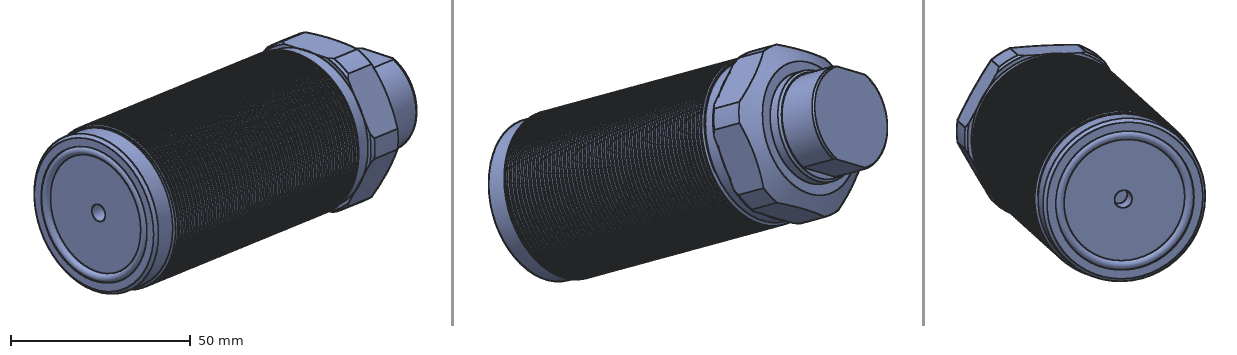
import cadquery as cq
import math


stud_end = 119.1
collar_back = 106.9
hex_back = 103.2
hex_front = 89.1
thread_back = 85.2
thread_front = 7.5

barrel_radius = 23.2
barrel_chamfer = 1.0
collar_radius = 16.0
collar_chamfer = 0.7
hole_radius = 2.5
hole_depth = 6.0

stud_radius = 15.0
stud_flat_distance = 27.0
stud_chamfer_length = 0.7
stud_chamfer_depth = 0.4

hex_flat_distance = 46.0
hex_corner_radius = 24.95
hex_back_radius = 19.0
hex_back_angle = 30
hex_front_chamfer_length = 1.0
hex_front_chamfer_depth = 0.6

thread_radius = 24.0
thread_pitch = 1.5
thread_depth = 0.65
thread_half_angle = 30
groove_run_out = 2.1
groove_clearance = 0.2
groove_root_radius = thread_radius - thread_depth
groove_mouth_radius = thread_radius + groove_clearance
groove_mouth_half_width = (thread_depth + groove_clearance) * math.tan(math.radians(thread_half_angle))
groove_start = thread_front - groove_run_out

slice_count = 49
front_joint = thread_front + thread_pitch
back_joint = front_joint + slice_count * thread_pitch
joint_tolerance = 0.001

ring_outer_radius = 19.8
ring_section_radius = 1.25
ring_center_radius = ring_outer_radius - ring_section_radius
ring_center_y = ring_section_radius
recess_floor_y = 2 * ring_section_radius
face_y = 0.6


def turned(points):
    """Solid of revolution about Y from (radius, y) points; the axis closes the outline."""
    on_axis = [(0, points[0][1])] + points + [(0, points[-1][1])]
    return cq.Workplane("XY").polyline(on_axis).close().revolve(360, (0, 0, 0), (0, 1, 0))


def make_barrel():
    """Barrel with a chamfered front edge and a raised thread blank with 45 degree ends."""
    rise = thread_radius - barrel_radius
    return turned([
        (barrel_radius - barrel_chamfer, face_y),
        (barrel_radius, face_y + barrel_chamfer),
        (barrel_radius, thread_front),
        (thread_radius, thread_front + rise),
        (thread_radius, thread_back - rise),
        (barrel_radius, thread_back),
        (barrel_radius, hex_front),
    ])


def make_groove_turn():
    """One turn of the right-handed V groove, beginning at the groove start."""
    helix = cq.Workplane(cq.Wire.makeHelix(thread_pitch, thread_pitch, groove_root_radius))
    turn = (
        cq.Workplane("XZ")
        .polyline([
            (groove_root_radius, 0),
            (groove_mouth_radius, -groove_mouth_half_width),
            (groove_mouth_radius, groove_mouth_half_width),
        ])
        .close()
        .sweep(helix, isFrenet=True)
    )
    return turn.rotate((0, 0, 0), (1, 0, 0), -90).translate((0, groove_start, 0)).val()


def shifted(shape, turns):
    """Copy of a shape moved back by whole turns of the thread."""
    return shape.moved(cq.Location(cq.Vector(0, turns * thread_pitch, 0)))


def threaded_part(blank, front_y, back_y):
    """The stretch of a blank between two planes, with every groove turn that reaches it cut in."""
    size = 4 * hex_corner_radius
    middle_y = (front_y + back_y) / 2
    stretch = cq.Workplane("XY", origin=(0, middle_y, 0)).box(size, back_y - front_y, size)
    first = math.floor((max(front_y, thread_front) - groove_start - groove_mouth_half_width) / thread_pitch)
    last = math.floor((min(back_y, thread_back) - groove_start + groove_mouth_half_width) / thread_pitch)
    turn = make_groove_turn()
    turns = [shifted(turn, index) for index in range(first, last + 1)]
    return blank.intersect(stretch).val().cut(*turns)


def faces_off_joints(part, *joints):
    """Faces of a part, leaving out the flat cross-sections where it meets its neighbours."""
    def on_joint(face):
        is_flat = face.geomType() == "PLANE"
        return is_flat and any(abs(face.Center().y - joint) < joint_tolerance for joint in joints)

    return [face for face in part.Faces() if not on_joint(face)]


def make_hexagon():
    """Hexagon with flats facing up and down and its corners turned to a round envelope."""
    prism = (
        cq.Workplane("XZ", origin=(0, hex_front, 0))
        .polygon(6, hex_flat_distance, circumscribed=True)
        .extrude(-(hex_back - hex_front))
        .rotate((0, 0, 0), (0, 1, 0), 30)
    )
    cone_length = (hex_corner_radius - hex_back_radius) * math.tan(math.radians(hex_back_angle))
    envelope = turned([
        (hex_corner_radius - hex_front_chamfer_depth, hex_front),
        (hex_corner_radius, hex_front + hex_front_chamfer_length),
        (hex_corner_radius, hex_back - cone_length),
        (hex_back_radius, hex_back),
    ])
    return prism.intersect(envelope)


def make_collar():
    return turned([
        (collar_radius, hex_back),
        (collar_radius, collar_back - collar_chamfer),
        (collar_radius - collar_chamfer, collar_back),
    ])


def make_stud():
    """Round stud with a chamfered end and a flat on its top and bottom."""
    stud = turned([
        (stud_radius, collar_back),
        (stud_radius, stud_end - stud_chamfer_length),
        (stud_radius - stud_chamfer_depth, stud_end),
    ])
    middle = (collar_back + stud_end) / 2
    between_flats = cq.Workplane("XY", origin=(0, middle, 0)).box(
        2 * stud_radius, stud_end - collar_back, stud_flat_distance
    )
    return stud.intersect(between_flats)


def make_o_ring():
    return (
        cq.Workplane("XY")
        .center(ring_center_radius, ring_center_y)
        .circle(ring_section_radius)
        .revolve(360, (-ring_center_radius, 0, 0), (-ring_center_radius, 1, 0))
    )


def make_ring_recess():
    return turned([(ring_outer_radius, face_y), (ring_outer_radius, recess_floor_y)])


def make_face_hole():
    """Blind hole in the middle of the recess floor."""
    return turned([(hole_radius, recess_floor_y), (hole_radius, recess_floor_y + hole_depth)])


def make_housing():
    """Barrel, hexagon, collar and stud in one threaded solid, with the recess and hole in front."""
    blank = make_barrel().cut(make_ring_recess()).cut(make_face_hole())
    for section in (make_hexagon(), make_collar(), make_stud()):
        blank = blank.union(section)

    front_part = threaded_part(blank, face_y, front_joint)
    thread_slice = threaded_part(blank, front_joint, front_joint + thread_pitch)
    back_part = threaded_part(blank, back_joint, stud_end)

    skin = faces_off_joints(front_part, front_joint) + faces_off_joints(back_part, back_joint)
    slice_faces = faces_off_joints(thread_slice, front_joint, front_joint + thread_pitch)
    for index in range(slice_count):
        skin += [shifted(face, index) for face in slice_faces]
    return cq.Solid.makeSolid(cq.Shell.makeShell(skin))


housing = make_housing()
o_ring = make_o_ring()

result = cq.Compound.makeCompound([housing, o_ring.val()])